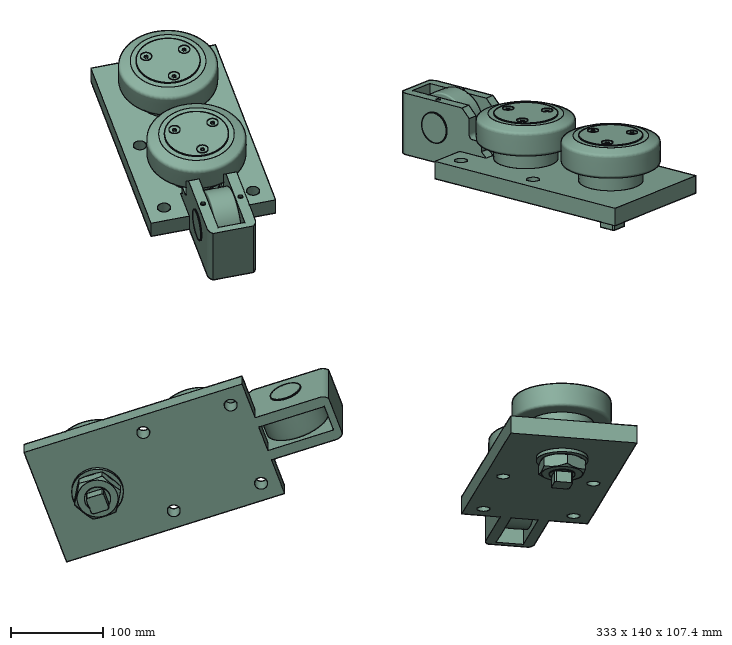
import cadquery as cq
import math

total_length = 333.0

plate_length = 250.0
plate_width = 140.0
plate_thickness = 20.0
plate_hole_diameter = 14.0
plate_hole_xs = (130.0, 230.0)
plate_hole_y = 50.0

bolt_x = 60.0
bolt_eccentricity = 2.15
roller_xs = (bolt_x + bolt_eccentricity, sum(plate_hole_xs) / len(plate_hole_xs))
stem_diameter = 70.0
roller_bottom = 40.0
roller_top = 71.3
roller_edge_diameter = 107.2
roller_crown = 0.3
roller_bottom_fillet = 3.0
roller_shoulder_fillet = 4.0
roller_cone_start = 66.3
roller_face_diameter = 82.0
cap_top = 72.3
cap_chamfer = 0.5

screw_count = 3
screw_circle_radius = 24.5
screw_diameter = 12.3
screw_depth = 0.5
socket_flats = 4.0
socket_depth = 2.5

bolt_diameter = 28.3
bolt_end = -20.0
washer_diameter = 56.0
washer_thickness = 4.0
nut_flats = 46.0
nut_height = 15.0
nut_face_diameter = 44.3
nut_chamfer_angle = 30.0
square_side = 20.0
square_chamfer = 1.5
square_end = -32.3

fork_width = 54.0
fork_height = 70.3
fork_left = 237.0
fork_chamfer = 10.0
foot_left = 220.0
foot_top = 37.0
foot_outer_fillet = 1.5
foot_inner_fillet = 5.0
weld_length = 6.5
weld_height = 6.0
slot_width = 30.0
end_wall = 7.5
end_face_width = 45.3
end_corner_length = 7.5
end_corner_radius = 12.3
set_screw_diameter = 5.0
set_screw_recess = 3.3
set_screw_socket_flats = 2.0
set_screw_socket_depth = 2.5

axle_x = 285.0
axle_z = 39.5
axle_diameter = 35.0
axle_length = 56.5
axle_chamfer = 0.5
wheel_edge_diameter = 70.5
wheel_crown = 0.3
wheel_width = 27.3
wheel_edge_fillet = 1.5


def upright_cylinder(x, diameter, z_start, z_end):
    """Cylinder along Z on the mid-plane."""
    return cq.Workplane("XY", origin=(x, 0, z_start)).circle(diameter / 2).extrude(z_end - z_start)


def make_plate():
    plate = cq.Workplane("XY").box(plate_length, plate_width, plate_thickness, centered=(False, True, False))
    hole_places = [(x, side * plate_hole_y) for x in plate_hole_xs for side in (-1, 1)]
    holes = cq.Workplane("XY").pushPoints(hole_places).circle(plate_hole_diameter / 2).extrude(plate_thickness)
    return plate.cut(holes)


def make_roller_ring(x):
    """Slightly crowned ring with a conical upper shoulder."""
    edge_radius = roller_edge_diameter / 2
    crown_z = (roller_bottom + roller_cone_start) / 2
    ring = (
        cq.Workplane("XZ")
        .moveTo(0, roller_bottom)
        .lineTo(edge_radius, roller_bottom)
        .threePointArc((edge_radius + roller_crown, crown_z), (edge_radius, roller_cone_start))
        .lineTo(roller_face_diameter / 2, roller_top)
        .lineTo(0, roller_top)
        .close()
        .revolve(360, (0, 0, 0), (0, 1, 0))
    )
    ring = ring.faces("<Z").edges().fillet(roller_bottom_fillet)
    shoulder = cq.selectors.NearestToPointSelector((0, 0, roller_cone_start))
    ring = ring.edges("%CIRCLE").edges(shoulder).fillet(roller_shoulder_fillet)
    return ring.translate((x, 0, 0))


def make_roller(x):
    """Stem and cap through the ring, with recessed screws in the cap."""
    stem = upright_cylinder(x, stem_diameter, plate_thickness, cap_top)
    stem = stem.faces(">Z").edges().chamfer(cap_chamfer)
    roller = stem.union(make_roller_ring(x))
    screw_places = cq.Workplane("XY", origin=(x, 0, cap_top)).polarArray(screw_circle_radius, 0, 360, screw_count)
    recesses = screw_places.circle(screw_diameter / 2).extrude(-screw_depth)
    sockets = screw_places.polygon(6, socket_flats, circumscribed=True).extrude(-socket_depth)
    return roller.cut(recesses).cut(sockets)


def make_nut():
    """Hexagon nut with its corners along X, cut by a cone at both ends."""
    top = -washer_thickness
    bottom = top - nut_height
    corner_radius = nut_flats / 2 / math.cos(math.pi / 6)
    face_radius = nut_face_diameter / 2
    chamfer_height = (corner_radius - face_radius) * math.tan(math.radians(nut_chamfer_angle))
    hexagon = (
        cq.Workplane("XY", origin=(bolt_x, 0, bottom))
        .polygon(6, 2 * corner_radius)
        .extrude(nut_height)
    )
    envelope = (
        upright_cylinder(bolt_x, 2 * corner_radius, bottom, top)
        .faces("<Z or >Z")
        .edges()
        .chamfer(chamfer_height, corner_radius - face_radius)
    )
    return hexagon.intersect(envelope)


def make_bolt_end():
    """Washer, nut, threaded end and square drive below the plate."""
    washer = upright_cylinder(bolt_x, washer_diameter, -washer_thickness, 0)
    thread = upright_cylinder(bolt_x, bolt_diameter, bolt_end, 0)
    square = (
        cq.Workplane("XY", origin=(bolt_x, 0, square_end))
        .rect(square_side, square_side)
        .extrude(bolt_end - square_end)
        .edges("|Z")
        .chamfer(square_chamfer)
    )
    return washer.union(make_nut()).union(thread).union(square)


def make_fork_plan(start):
    """Prism over the fork's plan outline, with rounded corners at the far end."""
    half_width = fork_width / 2
    half_end = end_face_width / 2
    corner_start = total_length - end_corner_length
    return (
        cq.Workplane("XY")
        .moveTo(start, -half_width)
        .lineTo(corner_start, -half_width)
        .radiusArc((total_length, -half_end), -end_corner_radius)
        .lineTo(total_length, half_end)
        .radiusArc((corner_start, half_width), -end_corner_radius)
        .lineTo(start, half_width)
        .close()
        .extrude(fork_height)
    )


def make_fork():
    """Slotted fork: its foot stands on the plate and its front part hangs past the plate's end."""
    fork = (
        cq.Workplane("XZ")
        .moveTo(plate_length, 0)
        .lineTo(total_length, 0)
        .lineTo(total_length, fork_height)
        .lineTo(fork_left + fork_chamfer, fork_height)
        .lineTo(fork_left, fork_height - fork_chamfer)
        .lineTo(fork_left, foot_top)
        .lineTo(foot_left, foot_top)
        .lineTo(foot_left, plate_thickness + weld_height)
        .lineTo(foot_left - weld_length, plate_thickness)
        .lineTo(plate_length, plate_thickness)
        .close()
        .extrude(fork_width / 2, both=True)
    )
    inner_corner = cq.selectors.NearestToPointSelector((fork_left, 0, foot_top))
    outer_corner = cq.selectors.NearestToPointSelector((foot_left, 0, foot_top))
    fork = fork.edges("|Y").edges(inner_corner).fillet(foot_inner_fillet)
    fork = fork.edges("|Y").edges(outer_corner).fillet(foot_outer_fillet)

    slot_start = foot_left - weld_length
    fork = fork.intersect(make_fork_plan(slot_start))
    slot_length = total_length - end_wall - slot_start
    slot = cq.Workplane("XY").box(slot_length, slot_width, fork_height, centered=(False, True, False))
    return fork.cut(slot.translate((slot_start, 0, 0)))


def make_axle():
    return (
        cq.Workplane("XZ", origin=(axle_x, 0, axle_z))
        .circle(axle_diameter / 2)
        .extrude(axle_length / 2, both=True)
    )


def make_set_screw_recesses():
    """Recess and hexagon socket of the set screw in each cheek, above the axle."""
    hole_y = (fork_width + slot_width) / 4
    places = [(axle_x, hole_y), (axle_x, -hole_y)]
    socket_corner_diameter = set_screw_socket_flats / math.cos(math.pi / 6)
    top = cq.Workplane("XY", origin=(0, 0, fork_height)).pushPoints(places)
    recesses = top.circle(set_screw_diameter / 2).extrude(-set_screw_recess)
    sockets = top.polygon(6, socket_corner_diameter).extrude(-set_screw_recess - set_screw_socket_depth)
    return recesses.union(sockets)


def make_carriage():
    """Plate with its guide rollers, bolt end and fork."""
    carriage = make_plate()
    for x in roller_xs:
        carriage = carriage.union(make_roller(x))
    carriage = carriage.union(make_bolt_end())
    fork = make_fork().cut(make_axle()).cut(make_set_screw_recesses())
    return carriage.union(fork)


def make_wheel():
    """Slightly crowned wheel in one piece with its axle."""
    edge_radius = wheel_edge_diameter / 2
    half_width = wheel_width / 2
    wheel = (
        cq.Workplane("XY")
        .moveTo(0, -half_width)
        .lineTo(edge_radius, -half_width)
        .threePointArc((edge_radius + wheel_crown, 0), (edge_radius, half_width))
        .lineTo(0, half_width)
        .close()
        .revolve(360, (0, 0, 0), (0, 1, 0))
        .faces("<Y or >Y")
        .edges()
        .fillet(wheel_edge_fillet)
        .translate((axle_x, 0, axle_z))
    )
    axle = make_axle().faces("<Y or >Y").edges().chamfer(axle_chamfer)
    return wheel.union(axle)


carriage = make_carriage()
wheel = make_wheel()

result = cq.Compound.makeCompound([carriage.val(), wheel.val()])